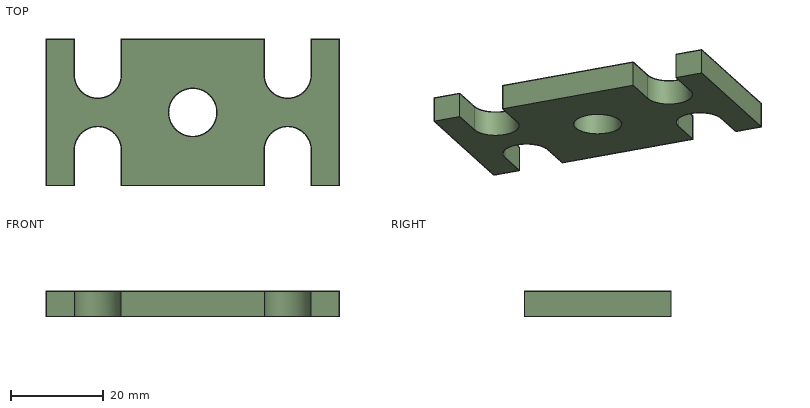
import cadquery as cq

length = 63.5
width = 31.75
thickness = 5.5

hole_diameter = 10.4

slot_width = 10.15
slot_offset = 20.6
slot_web = 6.15

slot_radius = slot_width / 2
arc_center_y = slot_web / 2 + slot_radius


def edge_slot(x, side):
    """Cutter for one slot; side is +1 or -1 for the edge it opens to."""
    return (
        cq.Workplane("XY")
        .moveTo(x - slot_radius, side * width / 2)
        .lineTo(x - slot_radius, side * arc_center_y)
        .threePointArc((x, side * slot_web / 2), (x + slot_radius, side * arc_center_y))
        .lineTo(x + slot_radius, side * width / 2)
        .close()
        .extrude(thickness)
    )


plate = cq.Workplane("XY").box(length, width, thickness, centered=(True, True, False))
plate = plate.faces(">Z").workplane().hole(hole_diameter)

for x in (-slot_offset, slot_offset):
    for side in (-1, 1):
        plate = plate.cut(edge_slot(x, side))

result = plate